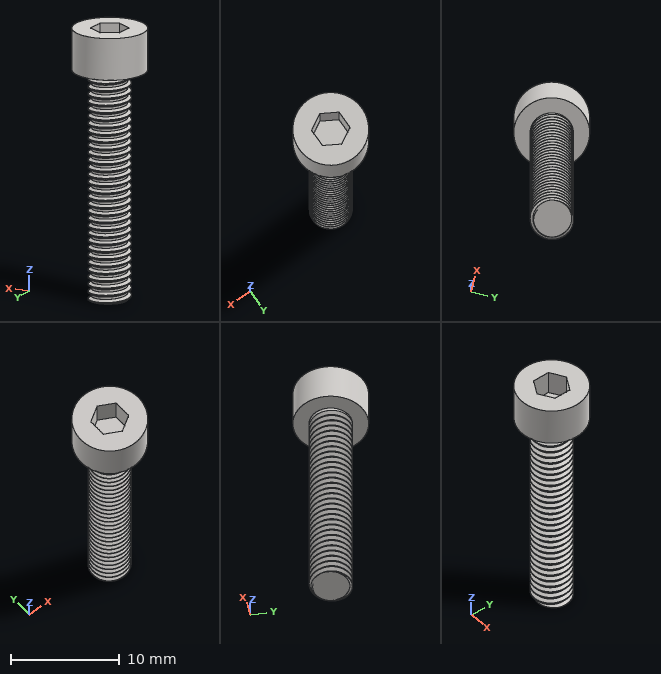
import cadquery as cq
import math


total_length = 26.0
head_diameter = 7.0
head_height = 4.0

socket_across_flats = 3.07
socket_depth = 2.5

shank_diameter = 4.0
shank_radius = shank_diameter / 2
shank_length = total_length - head_height

turns_along_shank = 31.4
pitch = shank_length / turns_along_shank
thread_depth = 0.35
crest_width = pitch / 8
flank_angle = math.radians(30)
groove_end_angle = 193.0
groove_end_drop = 0.25
overcut = 0.03
groove_turns = math.ceil(turns_along_shank) + 1
spare_length = 4 * pitch


def make_head():
    head = cq.Workplane("XY").workplane(offset=shank_length).circle(head_diameter / 2).extrude(head_height)
    socket = (
        cq.Workplane("XY")
        .workplane(offset=total_length)
        .polygon(6, socket_across_flats / math.cos(math.pi / 6))
        .extrude(-socket_depth)
        .rotate((0, 0, 0), (0, 0, 1), 30)
    )
    return head.cut(socket)


def make_thread_groove():
    root_radius = shank_radius - thread_depth
    outer_radius = shank_radius + overcut
    outer_half_width = (pitch - crest_width) / 2 + overcut * math.tan(flank_angle)
    root_half_width = (pitch - crest_width) / 2 - thread_depth * math.tan(flank_angle)

    groove_length = groove_turns * pitch
    helix = cq.Wire.makeHelix(pitch, groove_length, shank_radius)
    section = cq.Workplane("XZ").polyline([
        (root_radius, -root_half_width),
        (outer_radius, -outer_half_width),
        (outer_radius, outer_half_width),
        (root_radius, root_half_width),
    ]).close()
    start_height = shank_length - groove_end_drop - groove_length
    return (
        section.sweep(cq.Workplane(helix), isFrenet=True)
        .rotate((0, 0, 0), (0, 0, 1), groove_end_angle)
        .translate((0, 0, start_height))
    )


def make_shank():
    blank_length = shank_length + spare_length
    blank = cq.Workplane("XY").workplane(offset=-spare_length).circle(shank_radius).extrude(blank_length)
    threaded = blank.cut(make_thread_groove())
    spare = cq.Workplane("XY").rect(head_diameter, head_diameter).extrude(-spare_length)
    return threaded.cut(spare)


result = make_shank().union(make_head())